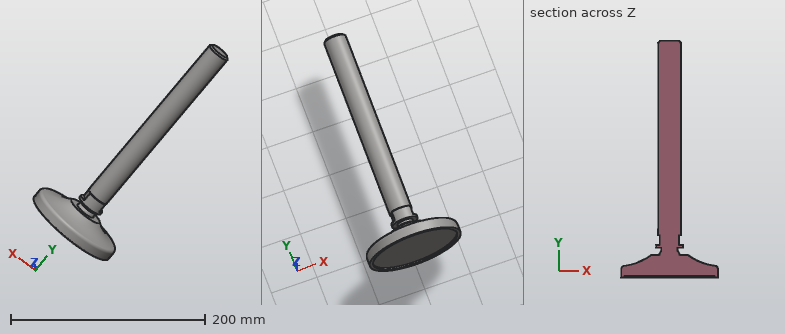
import cadquery as cq
import math

total_length = 244.0
rim_height = 8.8
shoulder_height = 12.5
foot_height = 23.5
neck_start = 27.8
collar_start = 30.7
flat_start = 33.7
shaft_start = 43.5

foot_radius = 100.0 / 2
foot_top_radius = 19.0
shoulder_rounding = shoulder_height - rim_height
shoulder_radius = foot_radius - shoulder_rounding
flare_mid_radius = 31.5
flare_mid_height = 16.3
recess_diameter = 92.5
recess_depth = 2.0

ball_radius = 11.0
neck_radius = 17.0 / 2
collar_radius = 28.0 / 2
across_flats = 20.0
shaft_radius = 24.0 / 2
tip_chamfer = 2.0


def make_foot():
    """Flared round foot with a shallow recess in its underside."""
    rounding_offset = shoulder_rounding * math.sqrt(0.5)
    rounding_mid = (shoulder_radius + rounding_offset, rim_height + rounding_offset)
    foot = (
        cq.Workplane("XY")
        .lineTo(foot_radius, 0)
        .lineTo(foot_radius, rim_height)
        .threePointArc(rounding_mid, (shoulder_radius, shoulder_height))
        .threePointArc((flare_mid_radius, flare_mid_height), (foot_top_radius, foot_height))
        .lineTo(0, foot_height)
        .close()
        .revolve(360, (0, 0), (0, 1))
    )
    return foot.cut(make_cylinder(recess_diameter / 2, 0, recess_depth))


def make_cylinder(radius, start, end):
    """Cylinder on the Y axis between two distances from the underside."""
    return cq.Workplane("XZ", origin=(0, start, 0)).circle(radius).extrude(start - end)


def make_ball_neck():
    """Ball seated in the foot, with the neck that joins it to the collar."""
    ball_center = neck_start - math.sqrt(ball_radius**2 - neck_radius**2)
    ball = cq.Workplane("XY", origin=(0, ball_center, 0)).sphere(ball_radius)
    neck = make_cylinder(neck_radius, ball_center, collar_start)
    return ball.union(neck)


def make_collar():
    """Round collar with two wrench flats that leave a full lip below them."""
    lip = make_cylinder(collar_radius, collar_start, flat_start)
    grip = make_cylinder(collar_radius, flat_start, shaft_start)
    grip_length = shaft_start - flat_start
    flats = cq.Workplane("XY", origin=(0, flat_start + grip_length / 2, 0)).box(
        across_flats, grip_length, 2 * collar_radius
    )
    return lip.union(grip.intersect(flats))


def make_shaft():
    """Long plain shaft with a chamfered free end."""
    return make_cylinder(shaft_radius, shaft_start, total_length).faces(">Y").chamfer(tip_chamfer)


result = make_foot().union(make_ball_neck()).union(make_collar()).union(make_shaft())